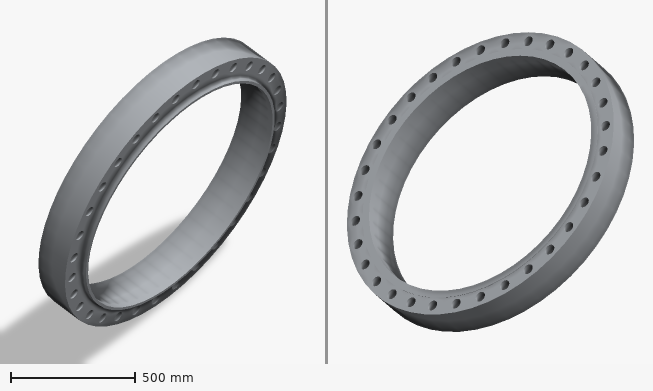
import cadquery as cq

outer_diameter = 1289.05
bore_diameter = 1073.15
overall_length = 174.62

raised_face_diameter = 1136.65
raised_face_height = 1.6

flange_thickness = 147.6

hub_diameter = 1098.55
hub_fillet_radius = 9.525

bolt_count = 32
bolt_circle_diameter = 1206.5
bolt_hole_diameter = 44.45

flange_back_x = raised_face_height + flange_thickness


def make_ring_body():
    """Revolve the raised face, flange and hub section about the X axis."""
    bore_radius = bore_diameter / 2
    raised_face_radius = raised_face_diameter / 2
    outer_radius = outer_diameter / 2
    hub_radius = hub_diameter / 2
    fillet_end_x = flange_back_x + hub_fillet_radius
    fillet_start_radius = hub_radius + hub_fillet_radius
    section = (
        cq.Workplane("XZ")
        .moveTo(0, bore_radius)
        .lineTo(0, raised_face_radius)
        .lineTo(raised_face_height, raised_face_radius)
        .lineTo(raised_face_height, outer_radius)
        .lineTo(flange_back_x, outer_radius)
        .lineTo(flange_back_x, fillet_start_radius)
        .radiusArc((fillet_end_x, hub_radius), -hub_fillet_radius)
        .lineTo(overall_length, hub_radius)
        .lineTo(overall_length, bore_radius)
        .close()
    )
    return section.revolve(360, (0, 0, 0), (1, 0, 0))


def make_bolt_holes():
    """Cylinders through the flange plate, evenly spaced on the bolt circle."""
    return (
        cq.Workplane("YZ", origin=(raised_face_height, 0, 0))
        .polarArray(bolt_circle_diameter / 2, 0, 360, bolt_count)
        .circle(bolt_hole_diameter / 2)
        .extrude(flange_thickness)
    )


result = make_ring_body().cut(make_bolt_holes())